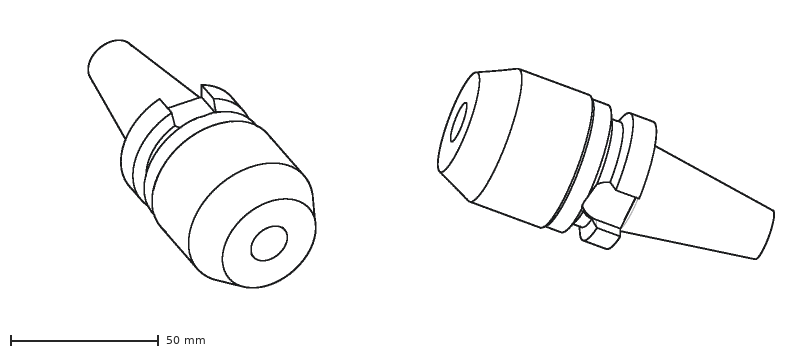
import cadquery as cq


gauge_diameter = 31.75
taper_ratio = 7 / 24
taper_length = 48.4
taper_small_diameter = gauge_diameter - taper_ratio * taper_length
bore_diameter = 14.0

flange_diameter = 46.0
flange_face_x = 1.0
groove_diameter = 38.0
groove_floor_width = 4.0
groove_side_width = 2.0
groove_center_x = 13.6
groove_floor_start_x = groove_center_x - groove_floor_width / 2
groove_floor_end_x = groove_center_x + groove_floor_width / 2
groove_start_x = groove_floor_start_x - groove_side_width
groove_end_x = groove_floor_end_x + groove_side_width

body_diameter = 48.0
body_chamfer = (body_diameter - flange_diameter) / 2
body_start_x = 24.0
nose_length = 13.0
nose_diameter = 36.0
front_x = 64.0
nose_start_x = front_x - nose_length

keyway_width = 16.1
keyway_floor_height = 16.3
keyway_length = 17.0
keyway_end_x = flange_face_x + keyway_length
keyway_end_radius = keyway_width / 2


def make_body():
    """Solid of revolution from the small taper end to the nose."""
    stations = [
        (-taper_length, taper_small_diameter),
        (0, gauge_diameter),
        (flange_face_x, gauge_diameter),
        (flange_face_x, flange_diameter),
        (groove_start_x, flange_diameter),
        (groove_floor_start_x, groove_diameter),
        (groove_floor_end_x, groove_diameter),
        (groove_end_x, flange_diameter),
        (body_start_x, flange_diameter),
        (body_start_x + body_chamfer, body_diameter),
        (nose_start_x, body_diameter),
        (front_x, nose_diameter),
    ]
    outline = [(x, diameter / 2) for x, diameter in stations]
    return (
        cq.Workplane("XY")
        .polyline([(-taper_length, 0)] + outline + [(front_x, 0)])
        .close()
        .revolve(360, (0, 0, 0), (1, 0, 0))
    )


def make_bore():
    """Bore running the whole length of the holder."""
    return (
        cq.Workplane("YZ", origin=(-taper_length, 0, 0))
        .circle(bore_diameter / 2)
        .extrude(taper_length + front_x)
    )


def make_keyway():
    """Cutter for the +Z keyway: open at the flange face, round at its far end."""
    arc_center_x = keyway_end_x - keyway_end_radius
    return (
        cq.Workplane("XY", origin=(0, 0, keyway_floor_height))
        .moveTo(flange_face_x, -keyway_end_radius)
        .lineTo(arc_center_x, -keyway_end_radius)
        .threePointArc((keyway_end_x, 0), (arc_center_x, keyway_end_radius))
        .lineTo(flange_face_x, keyway_end_radius)
        .close()
        .extrude(body_diameter / 2 - keyway_floor_height)
    )


result = make_body().cut(make_bore())
for side_angle in (0, 180):
    result = result.cut(make_keyway().rotate((0, 0, 0), (1, 0, 0), side_angle))